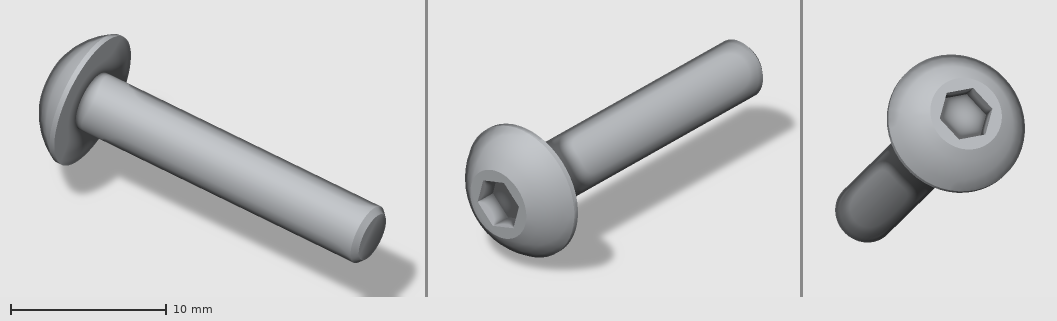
import cadquery as cq
import math

total_length = 24.0
head_diameter = 9.17
head_height = 2.57
head_face_diameter = 4.8
rim_width = 0.35
shank_diameter = 4.03
tip_chamfer = 0.38
socket_across_flats = 3.17
socket_depth = 1.5
socket_turn = -15.0

head_radius = head_diameter / 2
face_radius = head_face_diameter / 2
shank_radius = shank_diameter / 2
dome_end = head_height - rim_width

sphere_center = (dome_end**2 + head_radius**2 - face_radius**2) / (2 * dome_end)
sphere_radius = math.hypot(sphere_center, face_radius)
dome_middle = dome_end / 2
dome_middle_radius = math.sqrt(sphere_radius**2 - (sphere_center - dome_middle) ** 2)


def make_body():
    """Revolve the half profile of the head and shank about X."""
    return (
        cq.Workplane("XY")
        .lineTo(0, face_radius)
        .threePointArc((dome_middle, dome_middle_radius), (dome_end, head_radius))
        .lineTo(head_height, head_radius)
        .lineTo(head_height, shank_radius)
        .lineTo(total_length - tip_chamfer, shank_radius)
        .lineTo(total_length, shank_radius - tip_chamfer)
        .lineTo(total_length, 0)
        .close()
        .revolve(360, (0, 0, 0), (1, 0, 0))
    )


def make_socket():
    """Hexagonal prism that sinks into the head face."""
    across_corners = socket_across_flats / math.cos(math.pi / 6)
    return (
        cq.Workplane("YZ")
        .polygon(6, across_corners)
        .extrude(socket_depth)
        .rotate((0, 0, 0), (1, 0, 0), socket_turn)
    )


result = make_body().cut(make_socket())